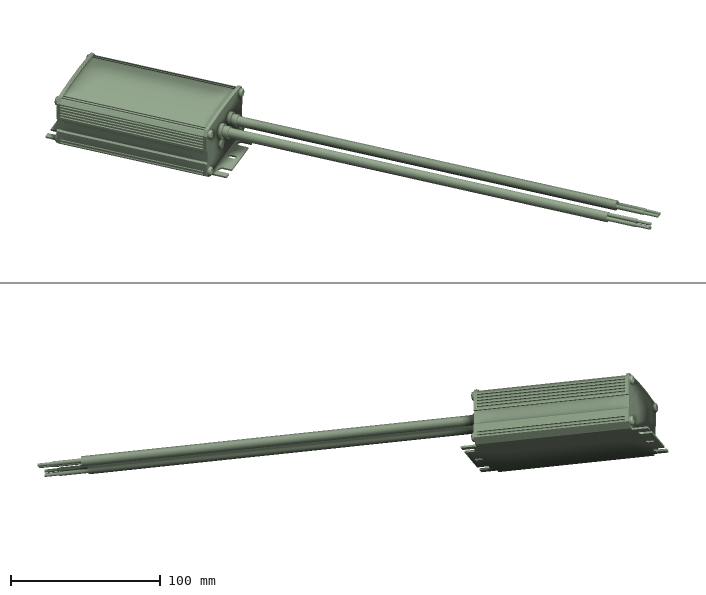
import cadquery as cq
import math

TOTAL_LENGTH = 429.0
CASE_WIDTH = 63.5
CASE_HEIGHT = 40.0

PLATE_LENGTH = 130.5
PLATE_WIDTH = 48.0
PLATE_THICKNESS = 1.5
SLOT_WIDTH = 5.0
SLOT_DEPTH = 8.5
SLOT_OFFSET = 17.0
CENTER_SLOT_WIDTH = 3.4
CENTER_SLOT_LENGTH = 6.0
CENTER_SLOT_INSET = 5.5

CAP_INSET = 11.0
CAP_THICKNESS = 1.7
GASKET_THICKNESS = 1.0
GASKET_INSET = 0.2
CAP_LIP = 1.5
FLOOR_HALF_WIDTH = 27.0
CREST_HALF_WIDTH = 29.0
CROWN_RISE = 1.5
BOTTOM_CHAMFER_TOP = 3.5
TOP_CHAMFER_BOTTOM = 34.7
WAIST_BOTTOM = 13.0
WAIST_SLOPE = 1.0
WAIST_TOP = 22.7
WAIST_DEPTH = 1.5

GROOVE_WIDTH = 1.07
GROOVE_DEPTH = 1.5
GROOVE_PITCH = 2.0
UPPER_GROOVES = 5
UPPER_GROOVE_START = 25.0
LOWER_GROOVES = 2
LOWER_GROOVE_START = 4.7
TOP_GROOVES = 2
TOP_GROOVE_START = 25.7

PANEL_HEIGHT = 0.2
PANEL_HALF_WIDTH = 26.5
PANEL_BOTTOM = 6.5
PANEL_TOP = 33.5
PANEL_TOP_HALF_WIDTH = 11.5
PANEL_ROUNDING = 6.5

SCREW_DIAMETER = 6.5
SCREW_HEIGHT = 2.0
SCREW_ROUNDING = 1.5
SOCKET_DIAMETER = 3.2
SOCKET_DEPTH = 1.5
SOCKET_SIDES = 6
SCREW_OFFSET = 27.5
SCREW_LEVELS = (5.0, 34.5)
PLUG_DIAMETER = 6.5
PLUG_HEIGHT = 1.7
PLUG_LEVEL = 15.0

CABLE_OFFSET = 7.7
CABLE_LEVEL = 25.5
CABLE_DIAMETER = 7.0
CABLE_END = 398.5
FLANGE_DIAMETER = 10.7
FLANGE_LENGTH = 2.5
NECK_DIAMETER = 7.7
NECK_LENGTH = 1.0
COLLAR_DIAMETER = 8.5
COLLAR_LENGTH = 3.5
WIRE_DIAMETER = 2.9
WIRE_PITCH = 3.0
WIRE_END = 418.5
STRAND_DIAMETER = 2.0

CENTER_X = PLATE_LENGTH / 2
CASE_START = CAP_INSET
CASE_END = PLATE_LENGTH - CAP_INSET
BODY_START = CASE_START + CAP_THICKNESS + GASKET_THICKNESS
BODY_END = CASE_END - CAP_THICKNESS - GASKET_THICKNESS
BODY_LENGTH = BODY_END - BODY_START
BODY_HEIGHT = CASE_HEIGHT - CAP_LIP


def rod(diameter, start, end, y, z):
    """Round bar along X."""
    return cq.Workplane("YZ", origin=(start, y, z)).circle(diameter / 2).extrude(end - start)


def case_section(start, length, crown, side_inset=0.0):
    """Waisted case section with chamfered corners and an arched top that peaks at crown."""
    side = CASE_WIDTH / 2 - side_inset
    waist = side - WAIST_DEPTH
    right_side = [
        (FLOOR_HALF_WIDTH, 0),
        (side, BOTTOM_CHAMFER_TOP),
        (side, WAIST_BOTTOM),
        (waist, WAIST_BOTTOM + WAIST_SLOPE),
        (waist, WAIST_TOP),
        (side, WAIST_TOP),
        (side, TOP_CHAMFER_BOTTOM),
        (CREST_HALF_WIDTH, crown - CROWN_RISE),
    ]
    left_side = [(-y, z) for y, z in reversed(right_side)]
    return (
        cq.Workplane("YZ", origin=(start, 0, 0))
        .polyline(right_side)
        .threePointArc((0, crown), left_side[0])
        .polyline(left_side[1:], includeCurrent=True)
        .close()
        .extrude(length)
    )


def groove_cutter(y, z, width, height):
    """Bar as long as the grooved body, centered at (y, z)."""
    return cq.Workplane("XY").box(BODY_LENGTH, width, height).translate((CENTER_X, y, z))


def grooved_body():
    body = case_section(BODY_START, BODY_LENGTH, BODY_HEIGHT)
    side = CASE_WIDTH / 2
    top = BODY_HEIGHT - CROWN_RISE
    side_levels = [UPPER_GROOVE_START + i * GROOVE_PITCH for i in range(UPPER_GROOVES)]
    side_levels += [LOWER_GROOVE_START + i * GROOVE_PITCH for i in range(LOWER_GROOVES)]
    for sign in (-1, 1):
        for z in side_levels:
            body = body.cut(groove_cutter(sign * side, z, 2 * GROOVE_DEPTH, GROOVE_WIDTH))
        for i in range(TOP_GROOVES):
            y = sign * (TOP_GROOVE_START + i * GROOVE_PITCH)
            body = body.cut(groove_cutter(y, top, GROOVE_WIDTH, 2 * GROOVE_DEPTH))
    return body


def end_panel():
    """Thin panel with 45 degree shoulders, rounded where they meet its top edge."""
    shoulder_z = PANEL_TOP - (PANEL_HALF_WIDTH - PANEL_TOP_HALF_WIDTH)
    right_side = [
        (PANEL_HALF_WIDTH, PANEL_BOTTOM),
        (PANEL_HALF_WIDTH, shoulder_z),
        (PANEL_TOP_HALF_WIDTH, PANEL_TOP),
    ]
    outline = right_side + [(-y, z) for y, z in reversed(right_side)]
    plane = cq.Workplane("YZ", origin=(CASE_START - PANEL_HEIGHT, 0, 0))
    panel = plane.polyline(outline).close().extrude(PANEL_HEIGHT)
    return panel.edges("|X").edges(">Z").fillet(PANEL_ROUNDING)


def mounting_plate():
    plate = cq.Workplane("XY").box(
        PLATE_LENGTH, PLATE_WIDTH, PLATE_THICKNESS, centered=(False, True, False)
    )
    for side in (-1, 1):
        edge_x = CENTER_X + side * PLATE_LENGTH / 2
        open_slots = (
            cq.Workplane("XY")
            .pushPoints([(edge_x, -SLOT_OFFSET), (edge_x, SLOT_OFFSET)])
            .slot2D(2 * SLOT_DEPTH, SLOT_WIDTH)
            .extrude(PLATE_THICKNESS)
        )
        center_slot = (
            cq.Workplane("XY")
            .center(edge_x - side * CENTER_SLOT_INSET, 0)
            .slot2D(CENTER_SLOT_LENGTH, CENTER_SLOT_WIDTH)
            .extrude(PLATE_THICKNESS)
        )
        plate = plate.cut(open_slots).cut(center_slot)
    return plate


def cap_screw(y, z, face_x, direction):
    """Round-headed socket screw standing off a cap face, direction being -1 or 1 along X."""
    plane = cq.Plane(origin=(face_x, y, z), xDir=(0, 1, 0), normal=(direction, 0, 0))
    head = cq.Workplane(plane).circle(SCREW_DIAMETER / 2).extrude(SCREW_HEIGHT)
    head = head.faces(">X" if direction > 0 else "<X").edges().fillet(SCREW_ROUNDING)
    socket = (
        cq.Workplane(plane)
        .workplane(offset=SCREW_HEIGHT - SOCKET_DEPTH)
        .polygon(SOCKET_SIDES, SOCKET_DIAMETER)
        .extrude(SOCKET_DEPTH)
    )
    return head.cut(socket)


def cable(y, wire_offsets):
    """Gland, cable and stripped wires; wire_offsets are wire centers about the cable axis."""
    neck_start = CASE_END + FLANGE_LENGTH
    collar_start = neck_start + NECK_LENGTH
    collar_end = collar_start + COLLAR_LENGTH
    parts = [
        rod(FLANGE_DIAMETER, CASE_END, neck_start, y, CABLE_LEVEL),
        rod(NECK_DIAMETER, neck_start, collar_start, y, CABLE_LEVEL),
        rod(COLLAR_DIAMETER, collar_start, collar_end, y, CABLE_LEVEL),
        rod(CABLE_DIAMETER, collar_end, CABLE_END, y, CABLE_LEVEL),
    ]
    for dy, dz in wire_offsets:
        parts.append(rod(WIRE_DIAMETER, CABLE_END, WIRE_END, y + dy, CABLE_LEVEL + dz))
        parts.append(rod(STRAND_DIAMETER, WIRE_END, TOTAL_LENGTH, y + dy, CABLE_LEVEL + dz))
    assembly = parts[0]
    for part in parts[1:]:
        assembly = assembly.union(part)
    return assembly


result = grooved_body()
for cap_start in (CASE_START, CASE_END - CAP_THICKNESS):
    result = result.union(case_section(cap_start, CAP_THICKNESS, CASE_HEIGHT))
for gasket_start in (BODY_START - GASKET_THICKNESS, BODY_END):
    gasket_crown = CASE_HEIGHT - GASKET_INSET
    result = result.union(case_section(gasket_start, GASKET_THICKNESS, gasket_crown, GASKET_INSET))
result = result.union(end_panel()).union(mounting_plate())

for screw_y in (-SCREW_OFFSET, SCREW_OFFSET):
    for screw_z in SCREW_LEVELS:
        result = result.union(cap_screw(screw_y, screw_z, CASE_START, -1))
        result = result.union(cap_screw(screw_y, screw_z, CASE_END, 1))
result = result.union(rod(PLUG_DIAMETER, CASE_END, CASE_END + PLUG_HEIGHT, -CABLE_OFFSET, PLUG_LEVEL))

wire_pair = [(-WIRE_PITCH / 2, 0), (WIRE_PITCH / 2, 0)]
trio_radius = WIRE_PITCH / math.sqrt(3)
trio_angles = [math.radians(angle) for angle in (60, 180, 300)]
wire_trio = [(trio_radius * math.cos(a), trio_radius * math.sin(a)) for a in trio_angles]
result = result.union(cable(CABLE_OFFSET, wire_pair))
result = result.union(cable(-CABLE_OFFSET, wire_trio))